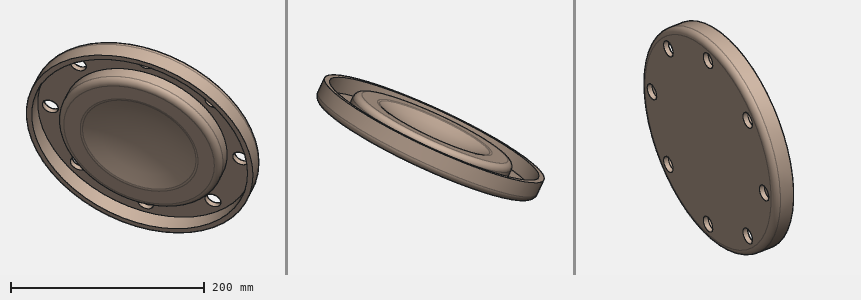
import cadquery as cq
import math

outer_diameter = 250.0
total_depth = 25.0
rim_setback = 1.5
rim_wall = 6.0
floor_thickness = 6.0
edge_radius = 7.0

boss_diameter = 180.0
dish_mouth_diameter = 130.0
dish_depth = 13.8
dish_lip_radius = 6.0

hole_count = 8
hole_diameter = 17.5
bolt_circle_diameter = 210.0

floor_y = total_depth - floor_thickness


def cylinder(diameter, start_y, end_y):
    """Solid cylinder about the Y axis."""
    return (
        cq.Workplane("XZ", origin=(0, end_y, 0))
        .circle(diameter / 2)
        .extrude(end_y - start_y)
    )


def make_flange():
    """Shallow cup with a rounded back edge and an upright rim."""
    disc = cylinder(outer_diameter, rim_setback, total_depth)
    disc = disc.faces(">Y").edges().fillet(edge_radius)
    recess = cylinder(outer_diameter - 2 * rim_wall, rim_setback, floor_y)
    return disc.cut(recess)


def make_boss():
    """Round boss rising from the floor, with a rounded front edge."""
    boss = cylinder(boss_diameter, 0, floor_y)
    return boss.faces("<Y").edges().fillet(edge_radius)


def make_dish():
    """Spherical hollow whose mouth blends into the boss face through a round lip."""
    mouth_radius = dish_mouth_diameter / 2
    lip_center_y = dish_lip_radius
    sphere_radius = (
        mouth_radius**2 + (dish_depth - lip_center_y) ** 2 - dish_lip_radius**2
    ) / (2 * dish_depth)
    sphere_center_y = dish_depth - sphere_radius
    meeting_angle = math.asin(mouth_radius / (sphere_radius + dish_lip_radius))

    def on_sphere(angle):
        return (
            sphere_radius * math.sin(angle),
            sphere_center_y + sphere_radius * math.cos(angle),
        )

    def on_lip(angle):
        return (
            mouth_radius - dish_lip_radius * math.sin(angle),
            lip_center_y - dish_lip_radius * math.cos(angle),
        )

    return (
        cq.Workplane("XY")
        .lineTo(mouth_radius, 0)
        .threePointArc(on_lip(meeting_angle / 2), on_lip(meeting_angle))
        .threePointArc(on_sphere(meeting_angle / 2), (0, dish_depth))
        .close()
        .revolve(360, (0, 0, 0), (0, 1, 0))
    )


def make_bolt_holes():
    """Through holes equally spaced on the bolt circle."""
    return (
        cq.Workplane("XZ", origin=(0, total_depth, 0))
        .polarArray(bolt_circle_diameter / 2, 0, 360, hole_count)
        .circle(hole_diameter / 2)
        .extrude(total_depth)
    )


result = make_flange().union(make_boss()).cut(make_dish()).cut(make_bolt_holes())